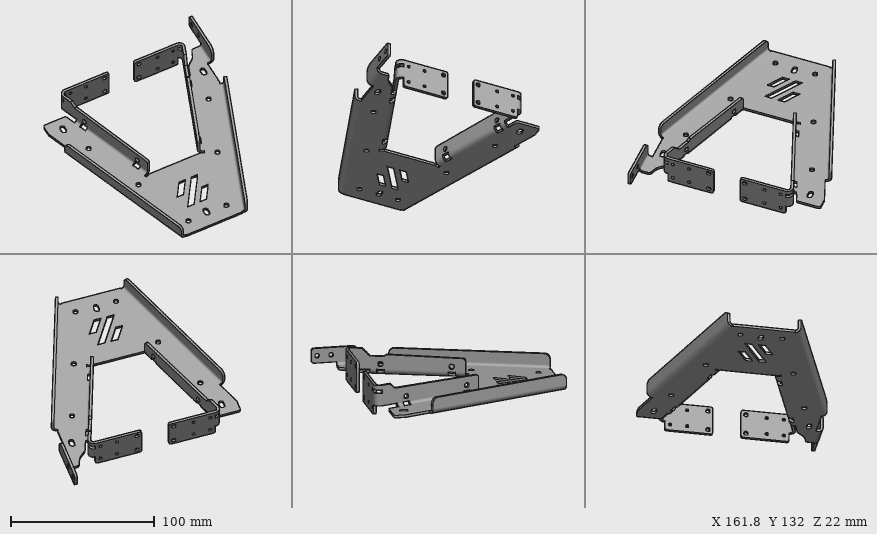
import cadquery as cq
import math

LENGTH = 161.8
WIDTH = 132.0
SHEET = 2.0
BEND_RADIUS = 3.9
SPLAY_ANGLE = 20.0
SPLAY_SIN = math.sin(math.radians(SPLAY_ANGLE))
SPLAY_COS = math.cos(math.radians(SPLAY_ANGLE))
MINUS_Y = -1
PLUS_Y = 1

ARM_AXIS = 65.7
ARM_WIDTH = 28.0
INNER_FACE = ARM_AXIS - ARM_WIDTH / 2
OUTER_FACE = ARM_AXIS + ARM_WIDTH / 2
INNER_BEND_LINE = INNER_FACE + BEND_RADIUS
OUTER_BEND_LINE = OUTER_FACE - BEND_RADIUS
TAIL_SETBACK = 0.6
TAIL_EDGE = OUTER_BEND_LINE - TAIL_SETBACK

OUTER_HEIGHT = 12.0
OUTER_CORNER = 4.0
OUTER_START = {PLUS_Y: 30.0, MINUS_Y: 32.8}
OUTER_END = (LENGTH - OUTER_FACE * SPLAY_SIN) / SPLAY_COS

TOP = 18.8
INNER_BEND_START = 20.0
INNER_END = 87.2
SHOULDER_START = 14.5
SHOULDER_END = 18.5
SHOULDER_HEIGHT = 15.0
INNER_END_HEIGHT = 13.9
INNER_CORNER = 2.0
DIP_HEIGHT = 13.5
DIP_START = SHOULDER_END + SHOULDER_HEIGHT - DIP_HEIGHT
DIP_END = 29.8
DIP_RISE = 2.1
FLANGE_HOLE_DIAMETER = 3.5
FLANGE_HOLE_HEIGHT = 7.8
FLANGE_HOLES = [27.5, 77.5]
WINDOW_LENGTH = 5.3
RELIEF_WIDTH = 1.6
RELIEF_DEPTH = 1.1

MOUNT_FACE = 20.0
MOUNT_BOTTOM = -3.2
MOUNT_INNER_Y = 10.0
MOUNT_CORNER = 1.6
MOUNT_BEND_RADIUS = 4.0
MOUNT_BEND_X = MOUNT_FACE + MOUNT_BEND_RADIUS
MOUNT_BEND_Y = (INNER_FACE + SHEET - MOUNT_BEND_RADIUS - MOUNT_BEND_X * SPLAY_SIN) / SPLAY_COS
MOUNT_MID_Z = (MOUNT_BOTTOM + TOP) / 2
MOUNT_WINDOW_BOTTOM = 13.0
MOUNT_WINDOW_TOP = 15.4
LARGE_HOLE_DIAMETER = 3.0
LARGE_HOLE_Y = 13.5
LARGE_HOLE_SPACING = 15.0
SMALL_HOLE_DIAMETER = 2.1
SMALL_HOLE_YS = [28.1, 40.3]
SMALL_HOLE_SPACING = 13.0

PLATE_END = 161.1
PLATE_INNER_X = 101.5
TAIL_X = 30.0
TAIL_CORNER = 1.6
TAIL_BLEND = 4.9
SHOULDER_Y = 60.8
PLATE_HOLE_DIAMETER = 3.5
PLATE_HOLE_PITCH = 47.0
LAST_HOLE = (150.8, 14.9)
HOLES_PER_ARM = 3
SLOT_LENGTH = 6.1
SLOT_CENTRES = [(39.1, 55.0), (39.1, -55.0), (149.3, 0)]

STRIPE_X = 128.6
STRIPE_HALF_WIDTH = 11.0
STRIPE_HEIGHT = 5.0
STRIPE_SLOPE = -0.65
STRIPE_OFFSET = 9.7

TAB_END = 33.8
TAB_ROOT = 18.1
TAB_HEIGHT = 14.5
TAB_FACE = WIDTH / 2
TAB_BEND_LINE = TAB_FACE - BEND_RADIUS
TAB_CORNER = 2.0
TAB_END_CORNER = 4.9
TAB_HOLE_DIAMETER = 3.0
TAB_HOLE_XS = [4.0, 14.0]
TAB_NECK_EDGE = 59.4
TAB_NECK_X = 24.6
TAB_NECK_END_X = 29.8
TAB_NECK_BLENDS = [2.5, 8.1, 2.5]

OVERCUT = 1.6
CUT_DEPTH = SHEET + 2 * OVERCUT


def edge_y(x, offset):
    """Y of the line parallel to the +Y arm at the given offset, at this x."""
    return (offset - x * SPLAY_SIN) / SPLAY_COS


def from_arm(along, across):
    """Turn +Y arm coordinates into plate coordinates."""
    return (along * SPLAY_COS + across * SPLAY_SIN, across * SPLAY_COS - along * SPLAY_SIN)


def place_arm(body, side):
    """Turn a body from the arm frame into the arm on the given side."""
    placed = body.rotate((0, 0, 0), (0, 0, 1), -SPLAY_ANGLE)
    return placed if side == PLUS_Y else placed.mirror("XZ")


def round_upright_edges(body, corners):
    """Round the upright edge nearest to each (x, y) by its radius."""
    for (x, y), radius in corners:
        nearest = cq.selectors.NearestToPointSelector((x, y, SHEET / 2))
        body = body.edges("|Z").edges(nearest).fillet(radius)
    return body


def bend(start, end, face, outward):
    """Quarter-round bend along X that rises from z = 0 to an upright whose outside is at y = face."""
    inner_radius = BEND_RADIUS - SHEET
    centre = face - outward * BEND_RADIUS
    diagonal = math.sqrt(0.5)
    return (
        cq.Workplane("YZ", origin=(start, 0, 0))
        .moveTo(centre, 0)
        .threePointArc(
            (centre + outward * BEND_RADIUS * diagonal, BEND_RADIUS * (1 - diagonal)),
            (face, BEND_RADIUS),
        )
        .lineTo(face - outward * SHEET, BEND_RADIUS)
        .threePointArc(
            (centre + outward * inner_radius * diagonal, BEND_RADIUS - inner_radius * diagonal),
            (centre, SHEET),
        )
        .close()
        .extrude(end - start)
    )


def upright(outline, low_y):
    """Upright sheet with an (x, z) outline, from low_y towards +Y."""
    return cq.Workplane("XZ", origin=(0, low_y, 0)).polyline(outline).close().extrude(-SHEET)


def upright_holes(points, diameter, low_y):
    return (
        cq.Workplane("XZ", origin=(0, low_y - OVERCUT, 0))
        .pushPoints(points)
        .circle(diameter / 2)
        .extrude(-CUT_DEPTH)
    )


def flat_plate():
    tail_y = -WIDTH / 2
    tail_inner_y = -edge_y(TAIL_X, INNER_BEND_LINE)
    tail_bend_x = (TAIL_EDGE + tail_y * SPLAY_COS) / SPLAY_SIN
    shoulder_x = (TAIL_EDGE - SHOULDER_Y * SPLAY_COS) / SPLAY_SIN
    relief_end = INNER_END + RELIEF_WIDTH
    relief_top = INNER_BEND_LINE + RELIEF_DEPTH
    slit_mouth = (PLATE_INNER_X - relief_end * SPLAY_COS) / SPLAY_SIN
    relief = [
        from_arm(INNER_END, INNER_BEND_LINE),
        from_arm(INNER_END, relief_top),
        from_arm(relief_end, relief_top),
        from_arm(relief_end, slit_mouth),
    ]
    neck = [
        (TAB_ROOT, edge_y(TAB_ROOT, TAB_NECK_EDGE)),
        (TAB_NECK_X, edge_y(TAB_NECK_X, TAB_NECK_EDGE)),
        (TAB_NECK_END_X, edge_y(TAB_NECK_END_X, INNER_BEND_LINE)),
    ]
    outer_end_y = edge_y(PLATE_END, OUTER_BEND_LINE)
    plus_side = [
        (PLATE_END, outer_end_y),
        from_arm(OUTER_START[PLUS_Y], OUTER_BEND_LINE),
        from_arm(OUTER_START[PLUS_Y], TAIL_EDGE),
        (shoulder_x, SHOULDER_Y),
        (TAB_END, SHOULDER_Y),
        (TAB_END, TAB_BEND_LINE),
        (TAB_ROOT, TAB_BEND_LINE),
    ]
    tail = [(TAIL_X, tail_inner_y), (TAIL_X, tail_y), (tail_bend_x, tail_y)]
    mirrored_end = [
        from_arm(OUTER_START[MINUS_Y], TAIL_EDGE),
        from_arm(OUTER_START[MINUS_Y], OUTER_BEND_LINE),
        (PLATE_END, outer_end_y),
    ]
    minus_relief = [(x, -y) for x, y in reversed(relief)]
    minus_end = [(x, -y) for x, y in mirrored_end]
    outline = plus_side + neck + relief + minus_relief + tail + minus_end
    body = cq.Workplane("XY").polyline(outline).close().extrude(SHEET)
    tail_radii = [TAIL_CORNER, TAIL_CORNER, TAIL_BLEND]
    corners = list(zip(neck, TAB_NECK_BLENDS)) + list(zip(tail, tail_radii))
    return round_upright_edges(body, corners)


def plate_openings():
    holes = []
    for number in range(HOLES_PER_ARM):
        x = LAST_HOLE[0] - number * PLATE_HOLE_PITCH * SPLAY_COS
        y = LAST_HOLE[1] + number * PLATE_HOLE_PITCH * SPLAY_SIN
        holes += [(x, y), (x, -y)]
    base = cq.Workplane("XY", origin=(0, 0, -OVERCUT))
    openings = base.pushPoints(holes).circle(PLATE_HOLE_DIAMETER / 2).extrude(CUT_DEPTH)
    openings = openings.union(
        base.pushPoints(SLOT_CENTRES).slot2D(SLOT_LENGTH, PLATE_HOLE_DIAMETER).extrude(CUT_DEPTH)
    )
    stripes = [
        (-STRIPE_HALF_WIDTH, STRIPE_HALF_WIDTH, 0),
        (0, STRIPE_HALF_WIDTH, STRIPE_OFFSET),
        (-STRIPE_HALF_WIDTH, 0, -STRIPE_OFFSET),
    ]
    for left, right, offset in stripes:
        left_y = STRIPE_SLOPE * left + offset
        right_y = STRIPE_SLOPE * right + offset
        half = STRIPE_HEIGHT / 2
        corners = [
            (STRIPE_X + left, left_y - half),
            (STRIPE_X + right, right_y - half),
            (STRIPE_X + right, right_y + half),
            (STRIPE_X + left, left_y + half),
        ]
        openings = openings.union(base.polyline(corners).close().extrude(CUT_DEPTH))
    return openings


def outer_flange(side):
    start = OUTER_START[side]
    outline = [(start, BEND_RADIUS), (OUTER_END, BEND_RADIUS), (OUTER_END, OUTER_HEIGHT), (start, OUTER_HEIGHT)]
    wall = upright(outline, OUTER_FACE - SHEET).edges("|Y and >Z").fillet(OUTER_CORNER)
    wall = wall.union(bend(start, OUTER_END, OUTER_FACE, 1))
    return place_arm(wall, side)


def inner_top(along):
    """Height of the gently falling top edge of an inner flange."""
    fall = (SHOULDER_HEIGHT - INNER_END_HEIGHT) / (INNER_END - SHOULDER_END)
    return SHOULDER_HEIGHT - fall * (along - SHOULDER_END)


def inner_flange(side):
    start = MOUNT_BEND_X * SPLAY_COS - MOUNT_BEND_Y * SPLAY_SIN
    outline = [(start, BEND_RADIUS), (start, TOP), (SHOULDER_START, TOP)]
    if side == PLUS_Y:
        rise_end = DIP_END + DIP_RISE
        outline += [(DIP_START, DIP_HEIGHT), (DIP_END, DIP_HEIGHT), (rise_end, inner_top(rise_end))]
    else:
        outline += [(SHOULDER_END, SHOULDER_HEIGHT)]
    outline += [(INNER_END, INNER_END_HEIGHT), (INNER_END, BEND_RADIUS)]
    end_corner = cq.selectors.NearestToPointSelector((INNER_END, INNER_FACE + SHEET / 2, INNER_END_HEIGHT))
    wall = upright(outline, INNER_FACE).edges("|Y").edges(end_corner).fillet(INNER_CORNER)
    holes = [(along, FLANGE_HOLE_HEIGHT) for along in FLANGE_HOLES]
    wall = wall.cut(upright_holes(holes, FLANGE_HOLE_DIAMETER, INNER_FACE))
    bend_start = INNER_BEND_START
    for along in FLANGE_HOLES:
        wall = wall.union(bend(bend_start, along - WINDOW_LENGTH / 2, INNER_FACE, -1))
        bend_start = along + WINDOW_LENGTH / 2
    wall = wall.union(bend(bend_start, INNER_END, INNER_FACE, -1))
    return place_arm(wall, side)


def mount_bend(low_z, high_z):
    """Upright bend that joins the +Y mounting plate to its arm flange."""
    end_angle = 90 - SPLAY_ANGLE
    middle_angle = (180 + end_angle) / 2

    def on_arc(radius, angle):
        turn = math.radians(angle)
        return (MOUNT_BEND_X + radius * math.cos(turn), MOUNT_BEND_Y + radius * math.sin(turn))

    outer = MOUNT_BEND_RADIUS
    inner = MOUNT_BEND_RADIUS - SHEET
    return (
        cq.Workplane("XY", origin=(0, 0, low_z))
        .moveTo(*on_arc(outer, 180))
        .threePointArc(on_arc(outer, middle_angle), on_arc(outer, end_angle))
        .lineTo(*on_arc(inner, end_angle))
        .threePointArc(on_arc(inner, middle_angle), on_arc(inner, 180))
        .close()
        .extrude(high_z - low_z)
    )


def mount(side):
    width = MOUNT_BEND_Y - MOUNT_INNER_Y
    body = (
        cq.Workplane("XY", origin=(MOUNT_FACE, MOUNT_INNER_Y, MOUNT_BOTTOM))
        .box(SHEET, width, TOP - MOUNT_BOTTOM, centered=False)
        .edges("|X and (<Y or <Z)")
        .fillet(MOUNT_CORNER)
    )
    face = cq.Workplane("YZ", origin=(MOUNT_FACE - OVERCUT, 0, MOUNT_MID_Z))
    large = [(LARGE_HOLE_Y, end * LARGE_HOLE_SPACING / 2) for end in (-1, 1)]
    small = [(y, end * SMALL_HOLE_SPACING / 2) for y in SMALL_HOLE_YS for end in (-1, 1)]
    body = body.cut(face.pushPoints(large).circle(LARGE_HOLE_DIAMETER / 2).extrude(CUT_DEPTH))
    body = body.cut(face.pushPoints(small).circle(SMALL_HOLE_DIAMETER / 2).extrude(CUT_DEPTH))
    body = body.union(mount_bend(BEND_RADIUS, MOUNT_WINDOW_BOTTOM)).union(mount_bend(MOUNT_WINDOW_TOP, TOP))
    return body if side == PLUS_Y else body.mirror("XZ")


def end_tab():
    low_y = TAB_FACE - SHEET
    outline = [(0, BEND_RADIUS), (TAB_END, BEND_RADIUS), (TAB_END, TAB_HEIGHT), (0, TAB_HEIGHT)]
    wall = upright(outline, low_y)
    wall = wall.edges("|Y and <X").fillet(TAB_CORNER)
    wall = wall.edges("|Y and >X and >Z").fillet(TAB_END_CORNER)
    holes = [(x, (BEND_RADIUS + TAB_HEIGHT) / 2) for x in TAB_HOLE_XS]
    wall = wall.cut(upright_holes(holes, TAB_HOLE_DIAMETER, low_y))
    return wall.union(bend(TAB_ROOT, TAB_END, TAB_FACE, 1))


result = flat_plate().cut(plate_openings())
for arm_side in (PLUS_Y, MINUS_Y):
    result = result.union(outer_flange(arm_side))
    result = result.union(inner_flange(arm_side))
    result = result.union(mount(arm_side))
result = result.union(end_tab())